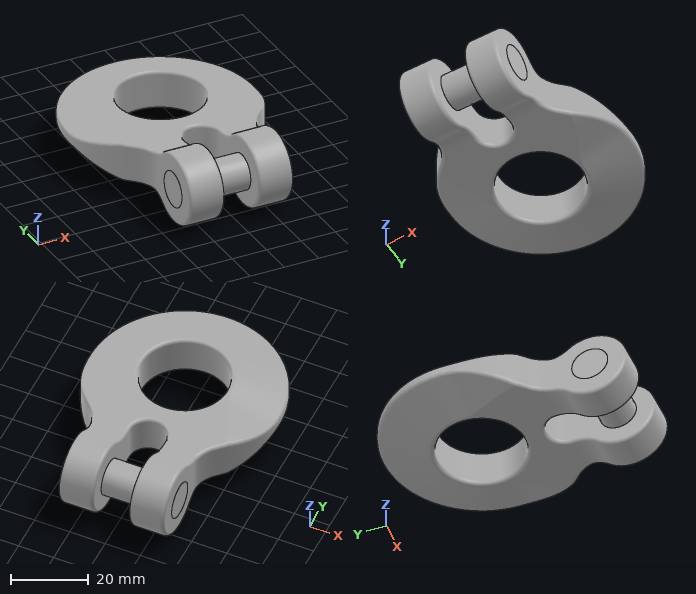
import cadquery as cq
import math

ring_radius = 27.0
hole_diameter = 24.0
plate_thickness = 11.25
edge_fillet = 1.0

slot_width = 10.0
lug_width = 10.0
slot_end_y = -23.0
eye_radius = 10.0
eye_y = -36.0
blend_radius = 10.0

rim_half_height = 1.45
bevel_angle = 17.0
overhang = 2.2

run_out_points = [(0, 0), (-8.75, 0.9), (-13.15, 1.5), (-19.0, 2.0)]

pin_diameter = 10.0

half_thickness = plate_thickness / 2
bevel_slope = math.tan(math.radians(bevel_angle))
bevel_inner_radius = ring_radius - (half_thickness - rim_half_height) / bevel_slope
lug_outer_x = slot_width / 2 + lug_width
fork_tip_y = eye_y - eye_radius


def waisted_outline():
    """Ring, concave waist and fork in the XY plane, as tall as the eyes."""
    blend_x = lug_outer_x + blend_radius
    blend_y = -math.sqrt((ring_radius + blend_radius) ** 2 - blend_x**2)
    ring_share = ring_radius / (ring_radius + blend_radius)
    waist_x, waist_y = blend_x * ring_share, blend_y * ring_share
    mid_angle = (math.pi + math.atan2(-blend_y, -blend_x)) / 2
    mid_x = blend_x + blend_radius * math.cos(mid_angle)
    mid_y = blend_y + blend_radius * math.sin(mid_angle)
    return (
        cq.Workplane("XY", origin=(0, 0, -eye_radius))
        .moveTo(lug_outer_x, fork_tip_y)
        .lineTo(lug_outer_x, blend_y)
        .threePointArc((mid_x, mid_y), (waist_x, waist_y))
        .threePointArc((0, ring_radius), (-waist_x, waist_y))
        .threePointArc((-mid_x, mid_y), (-lug_outer_x, blend_y))
        .lineTo(-lug_outer_x, fork_tip_y)
        .close()
        .extrude(2 * eye_radius)
    )


def side_profile():
    """Flat plate blending into the round eye in the YZ plane, as wide as the ring."""
    blend_z = half_thickness + blend_radius
    blend_y = eye_y + math.sqrt((eye_radius + blend_radius) ** 2 - blend_z**2)
    eye_share = eye_radius / (eye_radius + blend_radius)
    tangent_y = eye_y + (blend_y - eye_y) * eye_share
    tangent_z = blend_z * eye_share
    eye_angle = math.atan2(-blend_z, eye_y - blend_y)
    mid_angle = (eye_angle - math.pi / 2) / 2
    mid_y = blend_y + blend_radius * math.cos(mid_angle)
    mid_z = blend_z + blend_radius * math.sin(mid_angle)
    return (
        cq.Workplane("YZ")
        .moveTo(ring_radius, -half_thickness)
        .lineTo(ring_radius, half_thickness)
        .lineTo(blend_y, half_thickness)
        .threePointArc((mid_y, mid_z), (tangent_y, tangent_z))
        .threePointArc((fork_tip_y, 0), (tangent_y, -tangent_z))
        .threePointArc((mid_y, -mid_z), (blend_y, -half_thickness))
        .close()
        .extrude(ring_radius, both=True)
    )


def bevel_section():
    """Material removed above the bevel, in the XZ plane on the +X side."""
    outer_x = ring_radius + overhang
    outer_z = rim_half_height - overhang * bevel_slope
    clear_z = half_thickness + overhang
    return (
        cq.Workplane("XZ")
        .moveTo(outer_x, outer_z)
        .lineTo(bevel_inner_radius, half_thickness)
        .lineTo(bevel_inner_radius, clear_z)
        .lineTo(outer_x, clear_z)
        .close()
    )


def bevel_cutters():
    """Half turn around the ring, then a climbing run-out on each side of the fork."""
    path = cq.Workplane("YZ").spline(run_out_points, tangents=[(-1, 0), (-1, 0)])
    half_ring = bevel_section().revolve(180, (0, 0, 0), (0, 1, 0))
    run_out = bevel_section().sweep(path)
    upper = [half_ring, run_out, run_out.mirror("YZ")]
    return upper + [cutter.mirror("XY") for cutter in upper]


def slot_cutter():
    """Open slot between the lugs with a round inner end."""
    length = slot_end_y - fork_tip_y + overhang
    height = 2 * (eye_radius + overhang)
    half_width = slot_width / 2
    return (
        cq.Workplane("XY", origin=(0, slot_end_y, -height / 2))
        .moveTo(half_width, -length)
        .lineTo(half_width, 0)
        .threePointArc((0, half_width), (-half_width, 0))
        .lineTo(-half_width, -length)
        .close()
        .extrude(height)
    )


def round_edges(body, points):
    """Fillet the edge centred nearest each point, and all edges running smoothly on from it."""
    picks = [body.edges(cq.selectors.NearestToPointSelector(point)).val() for point in points]
    return body.newObject(picks).fillet(edge_fillet)


def make_pin():
    """Plain pin along X."""
    return (
        cq.Workplane("YZ", origin=(-lug_outer_x, eye_y, 0))
        .circle(pin_diameter / 2)
        .extrude(2 * lug_outer_x)
    )


def make_link(pin):
    """Ring plate with its fork."""
    link = waisted_outline().intersect(side_profile())

    lower_face = cq.Workplane("XY", origin=(0, 0, -half_thickness))
    link = link.cut(lower_face.circle(hole_diameter / 2).extrude(plate_thickness))
    link = round_edges(link, [(0, 0, half_thickness), (0, 0, -half_thickness)])

    for cutter in bevel_cutters():
        link = link.cut(cutter)

    crest_points = [(0, bevel_inner_radius, side * half_thickness) for side in (1, -1)]
    link = round_edges(link, crest_points)

    rim_points = [(0, ring_radius, side * rim_half_height) for side in (1, -1)]
    eye_points = [(side * lug_outer_x, eye_y, 0) for side in (1, -1)]
    link = round_edges(link, rim_points + eye_points)

    link = link.cut(slot_cutter())
    link = round_edges(link, [(slot_width / 2, eye_y, 0)])

    return link.cut(pin)


pin = make_pin()
link = make_link(pin)

result = cq.Compound.makeCompound([link.solids().val(), pin.val()])